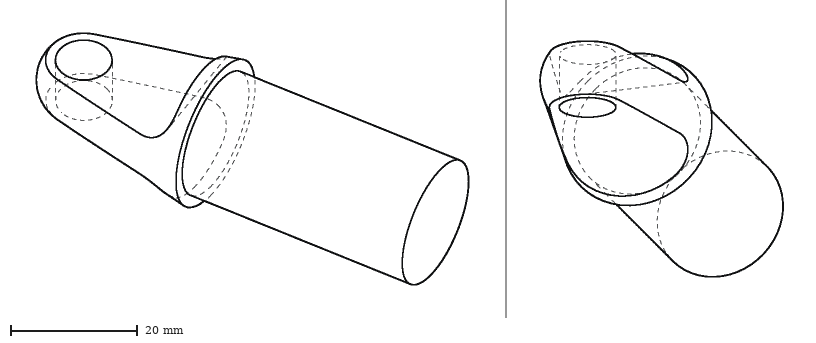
import cadquery as cq
import math

total_length = 71.5
shank_diameter = 21.1
head_length = 31.45
head_base_radius = 12.5
tip_radius = 7.5

tongue_thickness = 8.95
shoulder_x = 28.6
root_radius = 5.15
eye_diameter = 8.95


def cone_half_angle():
    """Slope of the line through the head's base rim that is tangent to the tip sphere."""
    run = head_length - tip_radius
    distance = math.hypot(run, head_base_radius)
    return math.atan2(head_base_radius, run) - math.asin(tip_radius / distance)


def make_body():
    """Revolve the round tip, the tapered head and the cylindrical shank."""
    angle = cone_half_angle()
    tangent_x = tip_radius * (1 - math.sin(angle))
    tangent_y = tip_radius * math.cos(angle)
    arc_angle = (math.pi / 2 - angle) / 2
    arc_middle = (tip_radius * (1 - math.cos(arc_angle)), tip_radius * math.sin(arc_angle))
    return (
        cq.Workplane("XY")
        .moveTo(0, 0)
        .threePointArc(arc_middle, (tangent_x, tangent_y))
        .lineTo(head_length, head_base_radius)
        .lineTo(head_length, shank_diameter / 2)
        .lineTo(total_length, shank_diameter / 2)
        .lineTo(total_length, 0)
        .close()
        .revolve(360, (0, 0, 0), (1, 0, 0))
    )


def make_side_cut():
    """Block above the tongue, with its inner lower edge rounded to form the root fillet."""
    cut_size = 2 * head_base_radius
    return (
        cq.Workplane("XY")
        .box(shoulder_x, cut_size, cut_size, centered=(False, True, False))
        .translate((0, 0, tongue_thickness / 2))
        .edges("|Y and >X and <Z")
        .fillet(root_radius)
    )


def make_eye():
    """Hole through the tongue, concentric with the tip."""
    return (
        cq.Workplane("XY", origin=(tip_radius, 0, -tongue_thickness / 2))
        .circle(eye_diameter / 2)
        .extrude(tongue_thickness)
    )


upper_cut = make_side_cut()
lower_cut = upper_cut.mirror("XY")
result = make_body().cut(upper_cut).cut(lower_cut).cut(make_eye())